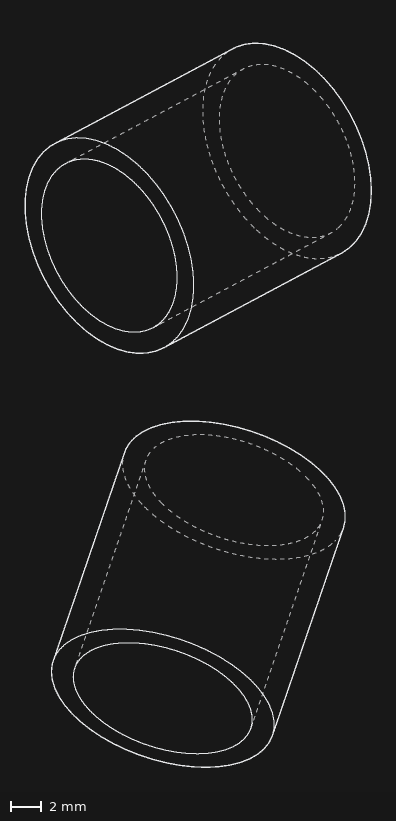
import cadquery as cq

length = 17.0
outer_diameter = 15.2
inner_diameter = 12.2

result = (
    cq.Workplane("XZ", origin=(0, length / 2, 0))
    .circle(outer_diameter / 2)
    .circle(inner_diameter / 2)
    .extrude(length)
)